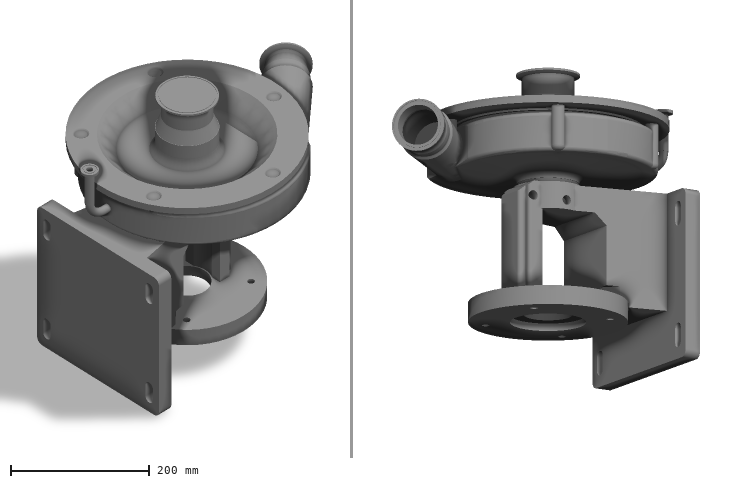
import cadquery as cq
import math


FLANGE_RADIUS = 175.05
FLANGE_TOP = 98.0
FLANGE_THICKNESS = 11.0
RECESS_MOUTH_RADIUS = 130.0
RECESS_CONE_RADIUS = 102.0
RECESS_FLOOR_RADIUS = 92.0
RECESS_CONE_BOTTOM = 71.5
RECESS_STEP_Y = 82.5
RECESS_SLOPE = math.atan2(FLANGE_TOP - RECESS_CONE_BOTTOM, RECESS_MOUTH_RADIUS - RECESS_CONE_RADIUS)
RECESS_CORNER_RADIUS = (RECESS_CONE_RADIUS - RECESS_FLOOR_RADIUS) / math.sin(RECESS_SLOPE)
RECESS_FLOOR = RECESS_CONE_BOTTOM - RECESS_CORNER_RADIUS * (1 - math.cos(RECESS_SLOPE))
NECK_RADIUS = 140.0
NECK_BOTTOM = 84.0

POST_COUNT = 5
POST_CIRCLE_RADIUS = 153.0
POST_START_ANGLE = 9.0
POST_RADIUS = 9.5
POST_RECESS_RADIUS = 12.0
POST_RECESS_DEPTH = 2.0

VOLUTE_TOP = 79.5
VOLUTE_BOTTOM = 21.5
VOLUTE_RADIUS = 157.5
VOLUTE_CENTER = (3.0, -3.0)
VOLUTE_STEP = 12.0
VOLUTE_TOP_ROUND = 7.5
VOLUTE_BOTTOM_ROUND = 6.0
UNDERSIDE_RADIUS = 136.0
UNDERSIDE_BOTTOM = 14.5

HUB_RADIUS = 45.5
HUB_FOOT_RADIUS = 44.5
HUB_FOOT_TOP = 6.0
HUB_ROUND = 7.5
SPIGOT_RADIUS = 37.0

INLET_TOP = 168.5
INLET_TUBE_RADIUS = 38.0
INLET_BASE_RADIUS = 46.5
INLET_CONE_RADIUS = 46.0
INLET_CONE_TOP = 133.0
INLET_CONE_BOTTOM = 111.5
INLET_FERRULE_RADIUS = 46.0
INLET_ROUND = 20.0

RIM_THICKNESS = 3.0
RIM_TAPER = 3.0
GROOVE_WIDTH = 2.5
GROOVE_DEPTH = 1.0

OUTLET_AXIS_DISTANCE = 140.5
OUTLET_AXIS_Z = 49.0
OUTLET_ANGLE = 45.0
OUTLET_END = 230.0
OUTLET_INNER_RADIUS = 31.0
OUTLET_PIPE_RADIUS = 39.0
OUTLET_PIPE_END = 176.0
OUTLET_SHOULDER_END = 180.5
OUTLET_SLEEVE_RADIUS = 35.5
OUTLET_SLEEVE_END = 196.5
OUTLET_TUBE_START = 216.5
OUTLET_TUBE_RADIUS = 31.0
OUTLET_FERRULE_RADIUS = 38.5
OUTLET_WALL = 1.5
OUTLET_BORE_START = 100.0
OUTLET_BORE_CONE_START = 179.0
OUTLET_BORE_CONE_END = 201.0

DRAIN_Y = -197.0
DRAIN_TOP = 140.0
DRAIN_TUBE_RADIUS = 7.25
DRAIN_PIPE_RADIUS = 6.5
DRAIN_BEND_RADIUS = 29.0
DRAIN_AXIS_Z = 50.5
DRAIN_FERRULE_RADIUS = 13.5
DRAIN_RIM_THICKNESS = 4.5
DRAIN_RIM_TAPER = 2.0
DRAIN_BORE_RADIUS = 5.0

WALL_SIZE = 249.5
WALL_THICKNESS = 25.0
WALL_FRONT = -180.0
WALL_TOP = -2.5
WALL_CORNER_RADIUS = 10.0
SLOT_WIDTH = 15.0
SLOT_LENGTH = 36.0
SLOT_SPACING_X = 209.5
SLOT_SPACING_Z = 180.0

RING_RADIUS = 50.5
RING_HEIGHT = 40.0
RING_HOLE_RADIUS = 7.0
RING_HOLE_Z = -26.5
WEB_WALL_HALF_WIDTH = 75.0
WEB_RING_HALF_WIDTH = 48.0
WEB_RING_Y = -14.5
WEB_CHAMFER = 18.0
WEB_INNER_Y = -63.5
WEB_BOTTOM = -176.0
MOTOR_PLATE_RADIUS = 115.5
MOTOR_PLATE_TOP = -169.5
MOTOR_PLATE_THICKNESS = 28.0
MOTOR_BORE_RADIUS = 35.0
MOTOR_PILOT_RADIUS = 55.0
MOTOR_PILOT_DEPTH = 11.0
MOTOR_HOLE_CIRCLE_RADIUS = 92.0
MOTOR_HOLE_RADIUS = 5.5
NOTCH_HEIGHT = 23.5
NOTCH_DEPTH_Y = 20.0
COLUMN_HALF_WIDTH = 35.0
COLUMN_FRONT = 31.5
COLUMN_BACK = 54.5
RIB_HALF_WIDTH = 25.0
RIB_BACK = 65.5
COLUMN_ROUND = 5.0
COLUMN_SLOPE_START = 46.0
COLUMN_SLOPE_DROP = 15.0
COLUMN_HOLE_RADIUS = 7.0
COLUMN_HOLE_Y = 47.0
COLUMN_HOLE_Z = -22.0


def turned(profile):
    """Solid of revolution about Z from (radius, z) points."""
    return cq.Workplane("XZ").polyline(profile).close().revolve(360, (0, 0), (0, 1))


def disc(radius, bottom, top):
    return cq.Workplane("XY").workplane(offset=bottom).circle(radius).extrude(top - bottom)


def face_groove(rim_radius, end):
    """Shallow ring groove in the end face of a ferrule, midway along its rim."""
    outer = rim_radius - GROOVE_WIDTH
    return disc(outer, end - GROOVE_DEPTH, end).cut(disc(outer - GROOVE_WIDTH, end - GROOVE_DEPTH, end))


def make_flange():
    flange = disc(FLANGE_RADIUS, FLANGE_TOP - FLANGE_THICKNESS, FLANGE_TOP)
    neck = disc(NECK_RADIUS, NECK_BOTTOM, FLANGE_TOP)
    core = disc(RECESS_MOUTH_RADIUS, VOLUTE_BOTTOM, FLANGE_TOP)
    shoulder = disc(NECK_RADIUS - 5, VOLUTE_BOTTOM, FLANGE_TOP)
    return flange.union(neck).union(core).union(shoulder)


def make_volute():
    x, y = VOLUTE_CENTER
    small = VOLUTE_RADIUS - VOLUTE_STEP
    large = VOLUTE_RADIUS + VOLUTE_STEP
    diagonal = math.sqrt(0.5)
    outline = (
        cq.Workplane("XY").workplane(offset=VOLUTE_BOTTOM)
        .moveTo(x - VOLUTE_STEP, y + small)
        .threePointArc((x - VOLUTE_STEP - small * diagonal, y + small * diagonal), (x - VOLUTE_RADIUS, y))
        .threePointArc((x - VOLUTE_RADIUS * diagonal, y - VOLUTE_RADIUS * diagonal), (x, y - VOLUTE_RADIUS))
        .threePointArc(
            (x + large * math.sin(math.radians(67.5)), y + VOLUTE_STEP - large * math.cos(math.radians(67.5))),
            (x + large * diagonal, y + VOLUTE_STEP + large * diagonal),
        )
        .close()
    )
    volute = outline.extrude(VOLUTE_TOP - VOLUTE_BOTTOM)
    volute = volute.faces(">Z").edges("%CIRCLE").fillet(VOLUTE_TOP_ROUND)
    return volute.faces("<Z").edges("%CIRCLE").fillet(VOLUTE_BOTTOM_ROUND)


def make_hub():
    """Sloping underside, hub with a rounded root, and the spigot that enters the bracket ring."""
    round_top = UNDERSIDE_BOTTOM + 0.5
    corner = HUB_ROUND * (1 - math.sqrt(0.5))
    profile = (
        cq.Workplane("XZ")
        .moveTo(0, -RING_HEIGHT)
        .lineTo(SPIGOT_RADIUS, -RING_HEIGHT)
        .lineTo(SPIGOT_RADIUS, 0)
        .lineTo(HUB_FOOT_RADIUS, 0)
        .lineTo(HUB_FOOT_RADIUS, HUB_FOOT_TOP)
        .lineTo(HUB_RADIUS, HUB_FOOT_TOP)
        .lineTo(HUB_RADIUS, round_top - HUB_ROUND)
        .threePointArc((HUB_RADIUS + corner, round_top - corner), (HUB_RADIUS + HUB_ROUND, round_top))
        .lineTo(UNDERSIDE_RADIUS, VOLUTE_BOTTOM)
        .lineTo(0, VOLUTE_BOTTOM)
        .close()
    )
    return profile.revolve(360, (0, 0), (0, 1))


def make_recess():
    """Dished recess: a cone, a corner round tangent to it, and a flat floor with a raised part."""
    mid_radius = RECESS_FLOOR_RADIUS + RECESS_CORNER_RADIUS * math.sin(RECESS_SLOPE / 2)
    mid_z = RECESS_FLOOR + RECESS_CORNER_RADIUS * (1 - math.cos(RECESS_SLOPE / 2))
    recess = (
        cq.Workplane("XZ")
        .moveTo(0, RECESS_FLOOR)
        .lineTo(RECESS_FLOOR_RADIUS, RECESS_FLOOR)
        .threePointArc((mid_radius, mid_z), (RECESS_CONE_RADIUS, RECESS_CONE_BOTTOM))
        .lineTo(RECESS_MOUTH_RADIUS, FLANGE_TOP)
        .lineTo(0, FLANGE_TOP)
        .close()
        .revolve(360, (0, 0), (0, 1))
    )
    size = 2 * RECESS_MOUTH_RADIUS
    raised = (
        cq.Workplane("XY").box(size, size, RECESS_CONE_BOTTOM - RECESS_FLOOR, centered=(True, False, False))
        .translate((0, RECESS_STEP_Y - size, RECESS_FLOOR))
    )
    return recess.cut(raised)


def make_inlet():
    corner = INLET_ROUND * (1 - math.sqrt(0.5))
    bottom = RECESS_FLOOR
    inlet = (
        cq.Workplane("XZ")
        .moveTo(0, bottom)
        .lineTo(INLET_BASE_RADIUS + INLET_ROUND, bottom)
        .threePointArc((INLET_BASE_RADIUS + corner, bottom + corner), (INLET_BASE_RADIUS, bottom + INLET_ROUND))
        .lineTo(INLET_BASE_RADIUS, INLET_CONE_BOTTOM)
        .lineTo(INLET_CONE_RADIUS, INLET_CONE_BOTTOM)
        .lineTo(INLET_TUBE_RADIUS, INLET_CONE_TOP)
        .lineTo(INLET_TUBE_RADIUS, INLET_TOP - RIM_THICKNESS - RIM_TAPER)
        .lineTo(INLET_FERRULE_RADIUS, INLET_TOP - RIM_THICKNESS)
        .lineTo(INLET_FERRULE_RADIUS, INLET_TOP)
        .lineTo(0, INLET_TOP)
        .close()
        .revolve(360, (0, 0), (0, 1))
    )
    return inlet.cut(face_groove(INLET_FERRULE_RADIUS, INLET_TOP))


def place_outlet(shape):
    """Lay a shape built along Z onto the outlet axis."""
    offset = OUTLET_AXIS_DISTANCE
    angle = math.radians(OUTLET_ANGLE)
    return (
        shape.rotate((0, 0, 0), (1, 0, 0), -90)
        .rotate((0, 0, 0), (0, 0, 1), OUTLET_ANGLE)
        .translate((offset * math.cos(angle), offset * math.sin(angle), OUTLET_AXIS_Z))
    )


def make_outlet():
    outlet = turned([
        (0, 0),
        (OUTLET_INNER_RADIUS, 0),
        (OUTLET_PIPE_RADIUS, OUTLET_PIPE_END),
        (OUTLET_SLEEVE_RADIUS, OUTLET_SHOULDER_END),
        (OUTLET_SLEEVE_RADIUS, OUTLET_SLEEVE_END),
        (OUTLET_TUBE_RADIUS, OUTLET_TUBE_START),
        (OUTLET_TUBE_RADIUS, OUTLET_END - RIM_THICKNESS - RIM_TAPER),
        (OUTLET_FERRULE_RADIUS, OUTLET_END - RIM_THICKNESS),
        (OUTLET_FERRULE_RADIUS, OUTLET_END),
        (0, OUTLET_END),
    ])
    return place_outlet(outlet.cut(face_groove(OUTLET_FERRULE_RADIUS, OUTLET_END)))


def make_outlet_bore():
    wide = OUTLET_SLEEVE_RADIUS - OUTLET_WALL
    narrow = OUTLET_TUBE_RADIUS - OUTLET_WALL
    return place_outlet(turned([
        (0, OUTLET_BORE_START),
        (wide, OUTLET_BORE_START),
        (wide, OUTLET_BORE_CONE_START),
        (narrow, OUTLET_BORE_CONE_END),
        (narrow, OUTLET_END),
        (0, OUTLET_END),
    ]))


def make_drain():
    bend_y = DRAIN_Y + DRAIN_BEND_RADIUS
    bend_z = DRAIN_AXIS_Z + DRAIN_BEND_RADIUS
    inner_y = -VOLUTE_RADIUS + 10
    corner = DRAIN_BEND_RADIUS * math.sqrt(0.5)
    path = (
        cq.Workplane("YZ")
        .moveTo(inner_y, DRAIN_AXIS_Z)
        .lineTo(bend_y, DRAIN_AXIS_Z)
        .threePointArc((bend_y - corner, bend_z - corner), (DRAIN_Y, bend_z))
    )
    pipe = cq.Workplane("XZ", origin=(0, inner_y, DRAIN_AXIS_Z)).circle(DRAIN_PIPE_RADIUS).sweep(path)
    rim_bottom = DRAIN_TOP - DRAIN_RIM_THICKNESS
    tube = turned([
        (0, bend_z),
        (DRAIN_TUBE_RADIUS, bend_z),
        (DRAIN_TUBE_RADIUS, rim_bottom - DRAIN_RIM_TAPER),
        (DRAIN_FERRULE_RADIUS, rim_bottom),
        (DRAIN_FERRULE_RADIUS, DRAIN_TOP),
        (0, DRAIN_TOP),
    ])
    tube = tube.cut(disc(DRAIN_BORE_RADIUS, bend_z, DRAIN_TOP)).cut(face_groove(DRAIN_FERRULE_RADIUS, DRAIN_TOP))
    return pipe.union(tube.translate((0, DRAIN_Y, 0)))


def post_places():
    return cq.Workplane("XY").polarArray(POST_CIRCLE_RADIUS, POST_START_ANGLE, 360, POST_COUNT)


def make_casing():
    casing = make_flange().union(make_volute()).union(make_hub()).union(make_outlet())
    post = disc(POST_RADIUS, VOLUTE_BOTTOM, FLANGE_TOP).faces("<Z").edges().fillet(VOLUTE_BOTTOM_ROUND)
    post_recess = turned([
        (0, FLANGE_TOP - POST_RECESS_DEPTH),
        (POST_RADIUS, FLANGE_TOP - POST_RECESS_DEPTH),
        (POST_RECESS_RADIUS, FLANGE_TOP),
        (0, FLANGE_TOP),
    ])
    casing = casing.union(post_places().eachpoint(lambda place: post.val().moved(place)))
    casing = casing.cut(make_recess())
    casing = casing.cut(post_places().eachpoint(lambda place: post_recess.val().moved(place)))
    return casing.union(make_inlet()).union(make_drain()).cut(make_outlet_bore())


def make_wall_plate():
    plate = (
        cq.Workplane("XZ").rect(WALL_SIZE, WALL_SIZE).extrude(-WALL_THICKNESS)
        .edges("|Y").fillet(WALL_CORNER_RADIUS)
    )
    slots = (
        cq.Workplane("XZ").rect(SLOT_SPACING_X, SLOT_SPACING_Z, forConstruction=True).vertices()
        .slot2D(SLOT_LENGTH, SLOT_WIDTH, 90).extrude(-WALL_THICKNESS)
    )
    return plate.cut(slots).translate((0, WALL_FRONT, WALL_TOP - WALL_SIZE / 2))


def make_web():
    """Web from the wall plate to the ring: a tapered plan cut to an L-shaped side outline."""
    wall_y = WALL_FRONT + WALL_THICKNESS
    plan = (
        cq.Workplane("XY").workplane(offset=WEB_BOTTOM)
        .polyline([
            (-WEB_WALL_HALF_WIDTH, wall_y),
            (WEB_WALL_HALF_WIDTH, wall_y),
            (WEB_RING_HALF_WIDTH, WEB_RING_Y),
            (-WEB_RING_HALF_WIDTH, WEB_RING_Y),
        ])
        .close().extrude(WALL_TOP - WEB_BOTTOM)
    )
    side = (
        cq.Workplane("YZ")
        .polyline([
            (wall_y, WALL_TOP),
            (WEB_RING_Y, WALL_TOP),
            (WEB_RING_Y, -RING_HEIGHT),
            (WEB_INNER_Y + WEB_CHAMFER, -RING_HEIGHT),
            (WEB_INNER_Y, -RING_HEIGHT - WEB_CHAMFER),
            (WEB_INNER_Y, WEB_BOTTOM),
            (wall_y, WEB_BOTTOM),
        ])
        .close().extrude(WEB_WALL_HALF_WIDTH, both=True)
    )
    return plan.intersect(side)


def make_notches():
    """Corner cuts at 45 degrees that clear the two motor holes beside the web."""
    wall_y = WALL_FRONT + WALL_THICKNESS
    taper = (WEB_WALL_HALF_WIDTH - WEB_RING_HALF_WIDTH) / (WEB_RING_Y - wall_y)
    outer_y = WEB_INNER_Y - NOTCH_DEPTH_Y
    outer_x = WEB_RING_HALF_WIDTH + taper * (WEB_RING_Y - outer_y)
    notch = (
        cq.Workplane("XY").workplane(offset=MOTOR_PLATE_TOP)
        .polyline([(outer_x, outer_y), (outer_x, WEB_INNER_Y), (outer_x - NOTCH_DEPTH_Y, WEB_INNER_Y)])
        .close().extrude(NOTCH_HEIGHT)
    )
    return notch.union(notch.mirror("YZ"))


def make_motor_plate():
    bottom = MOTOR_PLATE_TOP - MOTOR_PLATE_THICKNESS
    return disc(MOTOR_PLATE_RADIUS, bottom, MOTOR_PLATE_TOP)


def make_motor_holes():
    """Screw holes, and the central bore with a wider pilot recess on the underside."""
    bottom = MOTOR_PLATE_TOP - MOTOR_PLATE_THICKNESS
    screws = (
        cq.Workplane("XY").workplane(offset=bottom)
        .polarArray(MOTOR_HOLE_CIRCLE_RADIUS, 45, 360, 4)
        .circle(MOTOR_HOLE_RADIUS).extrude(MOTOR_PLATE_THICKNESS)
    )
    bore = disc(MOTOR_BORE_RADIUS, bottom, MOTOR_PLATE_TOP)
    pilot = disc(MOTOR_PILOT_RADIUS, bottom, bottom + MOTOR_PILOT_DEPTH)
    return screws.union(bore).union(pilot)


def make_column():
    """Column with a narrower rib on its back, rounded at the back edges and sloping off at the top."""
    def bar(half_width, back):
        return (
            cq.Workplane("XY")
            .box(2 * half_width, back - COLUMN_FRONT, -MOTOR_PLATE_TOP, centered=(True, False, False))
            .translate((0, COLUMN_FRONT, MOTOR_PLATE_TOP))
            .edges("|Z and >Y").fillet(COLUMN_ROUND)
        )
    slope = (
        cq.Workplane("YZ")
        .polyline([(COLUMN_SLOPE_START, 0), (RIB_BACK, 0), (RIB_BACK, -COLUMN_SLOPE_DROP)])
        .close().extrude(COLUMN_HALF_WIDTH, both=True)
    )
    return bar(COLUMN_HALF_WIDTH, COLUMN_BACK).union(bar(RIB_HALF_WIDTH, RIB_BACK)).cut(slope)


def make_bracket():
    ring = disc(RING_RADIUS, -RING_HEIGHT, 0)
    ring_bore = disc(SPIGOT_RADIUS, MOTOR_PLATE_TOP, 0)
    ring_hole = cq.Workplane("YZ").center(0, RING_HOLE_Z).circle(RING_HOLE_RADIUS).extrude(-RING_RADIUS)
    column_hole = (
        cq.Workplane("YZ").center(COLUMN_HOLE_Y, COLUMN_HOLE_Z).circle(COLUMN_HOLE_RADIUS)
        .extrude(COLUMN_HALF_WIDTH, both=True)
    )
    bracket = ring.union(make_column()).union(make_web()).cut(make_notches())
    bracket = bracket.union(make_wall_plate()).union(make_motor_plate())
    return bracket.cut(ring_bore).cut(ring_hole).cut(column_hole).cut(make_motor_holes())


casing = make_casing()
bracket = make_bracket()
result = cq.Compound.makeCompound([casing.val(), bracket.val()])